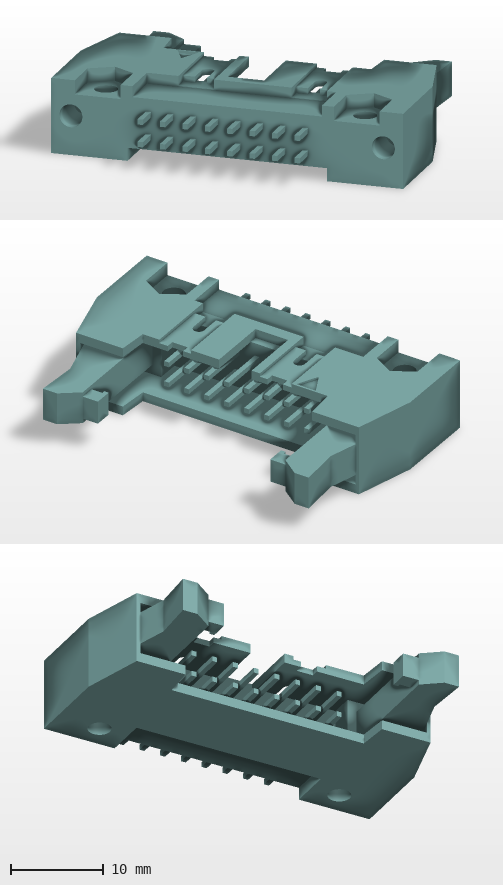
import cadquery as cq
import math


width = 39.9
height = 8.5
half_width = width / 2
mid_z = height / 2
shoulder_y = 10.05
mouth_y = 13.73
tower_y = 17.3
tower_outer_x = 18.0
tower_inner_x = 12.05
mouth_half_width = 11.77

wall = 1.1
cavity_floor_y = 7.35
cavity_top_z = height - wall

recess_y = 4.95
top_recess_half_width = 10.75
top_recess_depth = 1.25
bottom_recess_half_width = 11.3
bottom_recess_depth = 1.48

lane_centers = (-5.15, 7.65)
lane_width = 4.03
lane_depth = 0.45
lane_ledge_y = 6.55
lane_slot_width = 1.35
lane_slot_end_y = 9.6
lane_notch_centers = (-5.05, 7.62)
lane_notch_width = 1.95
lane_notch_length = 0.9

key_width = 4.15
key_floor_y = 6.4

mark_center_x = -8.85
mark_width = 2.47
mark_base_y = 13.5
mark_tip_y = 10.95
mark_depth = 0.3

hole_diameter = 2.6
mount_x = 14.7
mount_y = 2.87
nut_flats = 5.2
nut_depth = 1.6
blind_hole_x = 17.7
blind_hole_z = 4.43
blind_hole_depth = 4.8

pin_columns = 8
pin_rows = 2
pin_row_length = 17.8
pin_pitch = pin_row_length / (pin_columns - 1)
pin_size = 0.6
pin_tail = 2.9
pin_tip_y = 13.5

latch_height = 3.9
latch_top_y = 25.75
latch_waist_x = 16.6
latch_waist_y = 20.75
latch_tower_x = 17.55
latch_tip_outer_x = 16.9
latch_tip_inner_x = 15.12
latch_inner_x = 12.9
hook_top_y = 24.05
hook_bottom_y = 22.25
hook_end_x = 10.97
hook_height = 2.8
lip_width = 0.55
lip_length = 0.4

latch_slope = (latch_tower_x - latch_waist_x) / (latch_waist_y - tower_y)
latch_root_x = latch_waist_x + latch_slope * (latch_waist_y - shoulder_y)


def block(x_range, y_range, z_range):
    """Box between the given limits along each axis."""
    (x0, x1), (y0, y1), (z0, z1) = x_range, y_range, z_range
    return cq.Workplane("XY").box(x1 - x0, y1 - y0, z1 - z0, centered=False).translate((x0, y0, z0))


def prism(points, z_bottom, z_top):
    """Closed polygon in X and Y, extruded between two heights."""
    return cq.Workplane("XY", origin=(0, 0, z_bottom)).polyline(points).close().extrude(z_top - z_bottom)


def both_sides(solid):
    """The solid together with its mirror image across X = 0."""
    return solid.union(solid.mirror("YZ"))


def centered_span(center, size):
    return (center - size / 2, center + size / 2)


def make_housing():
    right_side = [
        (half_width, 0),
        (half_width, shoulder_y),
        (tower_outer_x, tower_y),
        (tower_inner_x, tower_y),
        (mouth_half_width, mouth_y),
    ]
    left_side = [(-x, y) for x, y in reversed(right_side)]
    return prism(right_side + left_side, 0, height)


def make_cavity():
    """Mating cavity and the latch slots that open from it through the towers."""
    cavity = block(
        centered_span(0, 2 * mouth_half_width),
        (cavity_floor_y, mouth_y),
        (wall, cavity_top_z),
    )
    slot_opening_x = mouth_half_width - wall
    latch_slot = prism(
        [
            (slot_opening_x, shoulder_y),
            (latch_root_x, shoulder_y),
            (latch_tower_x, tower_y),
            (slot_opening_x, tower_y),
        ],
        wall,
        cavity_top_z,
    )
    return cavity.union(both_sides(latch_slot))


def make_recesses():
    top = block(
        centered_span(0, 2 * top_recess_half_width),
        (0, recess_y),
        (height - top_recess_depth, height),
    )
    bottom = block(
        centered_span(0, 2 * bottom_recess_half_width),
        (0, recess_y),
        (0, bottom_recess_depth),
    )
    return top.union(bottom)


def make_lane(center_x, notch_center_x):
    """Lane with a lower ledge, a round-ended slot and a notch at the mouth."""
    lane_span = centered_span(center_x, lane_width)
    lane = block(lane_span, (recess_y, mouth_y), (height - lane_depth, height))
    ledge = block(lane_span, (recess_y, lane_ledge_y), (cavity_top_z, height))
    radius = lane_slot_width / 2
    arc_y = lane_slot_end_y - radius
    slot = block(
        centered_span(center_x, lane_slot_width), (lane_ledge_y, arc_y), (cavity_top_z, height)
    )
    slot_end = (
        cq.Workplane("XY", origin=(center_x, arc_y, cavity_top_z)).circle(radius).extrude(wall)
    )
    notch = block(
        centered_span(notch_center_x, lane_notch_width),
        (mouth_y - lane_notch_length, mouth_y),
        (cavity_top_z, height),
    )
    return lane.union(ledge).union(slot).union(slot_end).union(notch)


def make_key_slot():
    return block(centered_span(0, key_width), (key_floor_y, mouth_y), (cavity_top_z, height))


def make_pin_mark():
    corners = [
        (mark_center_x - mark_width / 2, mark_base_y),
        (mark_center_x + mark_width / 2, mark_base_y),
        (mark_center_x, mark_tip_y),
    ]
    return prism(corners, height - mark_depth, height)


def make_mounting():
    """Vertical through holes with open-sided nut pockets, and blind holes in the pin face."""
    radius = hole_diameter / 2
    half_flats = nut_flats / 2
    nut_tip = nut_flats / math.sqrt(3)
    pocket = prism(
        [
            (mount_x - half_flats, 0),
            (mount_x + half_flats, 0),
            (mount_x + half_flats, mount_y + nut_tip / 2),
            (mount_x, mount_y + nut_tip),
            (mount_x - half_flats, mount_y + nut_tip / 2),
        ],
        height - nut_depth,
        height,
    )
    through_hole = cq.Workplane("XY", origin=(mount_x, mount_y, 0)).circle(radius).extrude(height)
    blind_hole = (
        cq.Workplane("XZ", origin=(blind_hole_x, 0, blind_hole_z)).circle(radius).extrude(-blind_hole_depth)
    )
    return both_sides(pocket.union(through_hole).union(blind_hole))


def make_latch():
    """Right-hand latch, rooted in the tower, with its hook facing the mouth."""
    arm = prism(
        [
            (latch_inner_x, shoulder_y),
            (latch_root_x, shoulder_y),
            (latch_waist_x, latch_waist_y),
            (latch_tip_outer_x, latch_top_y),
            (latch_tip_inner_x, latch_top_y),
            (latch_inner_x, hook_top_y),
        ],
        *centered_span(mid_z, latch_height),
    )
    hook = prism(
        [
            (latch_inner_x, hook_top_y),
            (hook_end_x, hook_top_y),
            (hook_end_x, hook_bottom_y - lip_length),
            (hook_end_x + lip_width, hook_bottom_y - lip_length),
            (hook_end_x + lip_width, hook_bottom_y),
            (latch_inner_x, hook_bottom_y),
        ],
        *centered_span(mid_z, hook_height),
    )
    return arm.union(hook)


def make_pins():
    return (
        cq.Workplane("XZ", origin=(0, -pin_tail, mid_z))
        .rarray(pin_pitch, pin_pitch, pin_columns, pin_rows)
        .rect(pin_size, pin_size)
        .extrude(-(pin_tail + pin_tip_y))
    )


housing = make_housing().cut(make_cavity()).cut(make_recesses())
for lane_center, notch_center in zip(lane_centers, lane_notch_centers):
    housing = housing.cut(make_lane(lane_center, notch_center))
housing = housing.cut(make_key_slot()).cut(make_pin_mark()).cut(make_mounting())

result = housing.union(both_sides(make_latch())).union(make_pins())